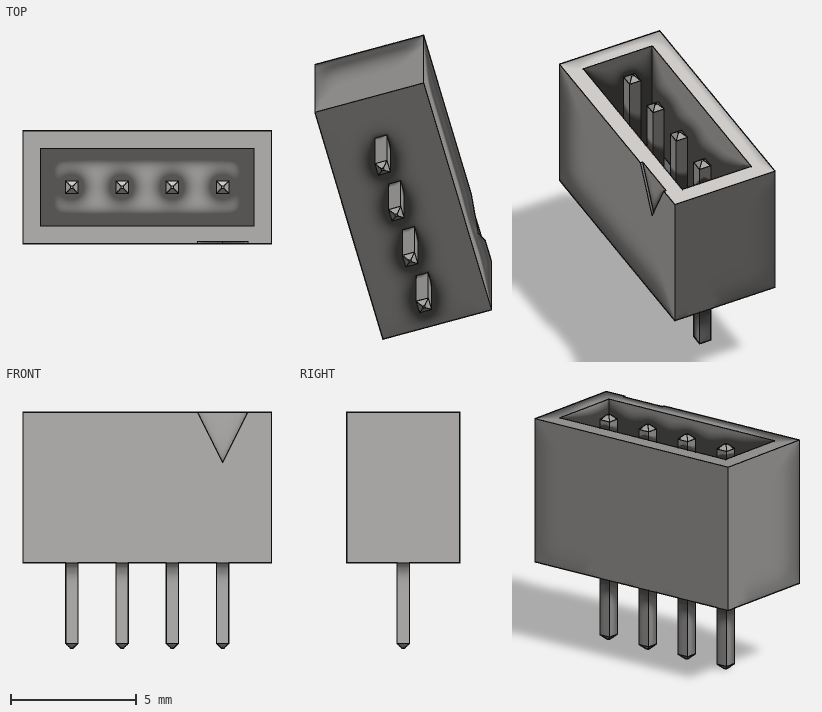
import cadquery as cq

LENGTH = 9.9
WIDTH = 4.5
HOUSING_HEIGHT = 6.0
WALL = 0.7
FLOOR = 0.99

MARK_WIDTH = 2.0
MARK_HEIGHT = 2.0
MARK_DEPTH = 0.1

PIN_COUNT = 4
PITCH = 2.0
PIN_SIDE = 0.5
PIN_BELOW = 3.4
PIN_TOP = HOUSING_HEIGHT
TIP_LENGTH = 0.2
TIP_SIDE = 0.1

pin_centers = [(i - (PIN_COUNT - 1) / 2) * PITCH for i in range(PIN_COUNT)]


def make_mark_cutter():
    """Triangular prism, point down, in line with the last pin."""
    center = pin_centers[-1]
    return (
        cq.Workplane("XZ", origin=(center, -WIDTH / 2, HOUSING_HEIGHT))
        .moveTo(-MARK_WIDTH / 2, 0)
        .lineTo(MARK_WIDTH / 2, 0)
        .lineTo(0, -MARK_HEIGHT)
        .close()
        .extrude(-MARK_DEPTH)
    )


def make_housing():
    """Box with its base at Z = 0, a top cavity, the mark and square pin holes."""
    box = cq.Workplane("XY").rect(LENGTH, WIDTH).extrude(HOUSING_HEIGHT)
    cavity = (
        cq.Workplane("XY", origin=(0, 0, FLOOR))
        .rect(LENGTH - 2 * WALL, WIDTH - 2 * WALL)
        .extrude(HOUSING_HEIGHT - FLOOR)
    )
    pin_holes = (
        cq.Workplane("XY")
        .pushPoints([(x, 0) for x in pin_centers])
        .rect(PIN_SIDE, PIN_SIDE)
        .extrude(FLOOR)
    )
    return box.cut(cavity).cut(pin_holes).cut(make_mark_cutter())


def make_tip(x, base_z, direction):
    """Tapered tip that starts at base_z; direction is +1 for up, -1 for down."""
    return (
        cq.Workplane("XY", origin=(x, 0, base_z))
        .rect(PIN_SIDE, PIN_SIDE)
        .workplane(offset=direction * TIP_LENGTH)
        .rect(TIP_SIDE, TIP_SIDE)
        .loft(ruled=True)
    )


def make_pin(x):
    """Square pin through the housing floor, tapered at both ends."""
    shank_bottom = TIP_LENGTH - PIN_BELOW
    shank_top = PIN_TOP - TIP_LENGTH
    shank = (
        cq.Workplane("XY", origin=(x, 0, shank_bottom))
        .rect(PIN_SIDE, PIN_SIDE)
        .extrude(shank_top - shank_bottom)
    )
    return shank.union(make_tip(x, shank_bottom, -1)).union(make_tip(x, shank_top, 1))


housing = make_housing()
pins = [make_pin(x) for x in pin_centers]

result = cq.Compound.makeCompound([housing.val(), *[pin.val() for pin in pins]])